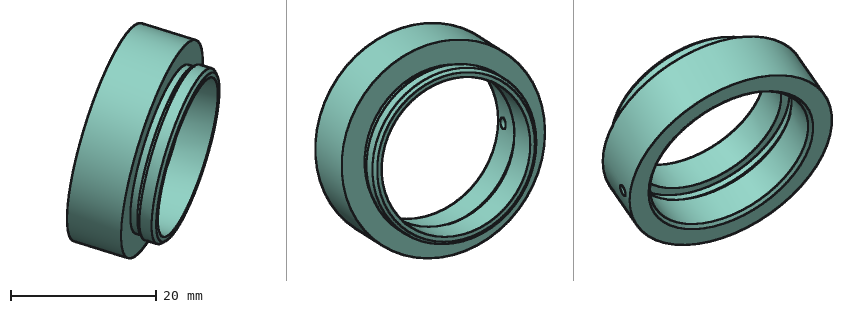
import cadquery as cq

total_length = 11.8
body_diameter = 31.5
body_length = 8.0

neck_diameter = 24.4
rim_diameter = 25.4
neck_length = 1.05

relief_diameter = 25.6
bore_diameter = 24.6
through_diameter = 23.0
bore_depth = 5.48
relief_length = 1.5

side_hole_diameter = 1.6
side_hole_x = 2.02

rim_chamfer = (rim_diameter - neck_diameter) / 2
bore_chamfer = (relief_diameter - bore_diameter) / 2


def ring_profile():
    """Half section of the ring: X along the axis, Y as the radius."""
    neck_end = body_length + neck_length
    relief_end = bore_depth + relief_length
    outer_points = [
        (0, body_diameter / 2),
        (body_length, body_diameter / 2),
        (body_length, neck_diameter / 2),
        (neck_end, neck_diameter / 2),
        (neck_end + rim_chamfer, rim_diameter / 2),
        (total_length - rim_chamfer, rim_diameter / 2),
        (total_length, neck_diameter / 2),
    ]
    inner_points = [
        (total_length, through_diameter / 2),
        (relief_end, through_diameter / 2),
        (relief_end, relief_diameter / 2),
        (bore_depth + bore_chamfer, relief_diameter / 2),
        (bore_depth, bore_diameter / 2),
        (bore_chamfer, bore_diameter / 2),
        (0, relief_diameter / 2),
    ]
    return cq.Workplane("XY").polyline(outer_points + inner_points).close()


def side_hole():
    """Cutter running from the axis out through the +Y wall."""
    return (
        cq.Workplane("XZ")
        .center(side_hole_x, 0)
        .circle(side_hole_diameter / 2)
        .extrude(-body_diameter)
    )


ring = ring_profile().revolve(360, (0, 0, 0), (1, 0, 0))
result = ring.cut(side_hole())